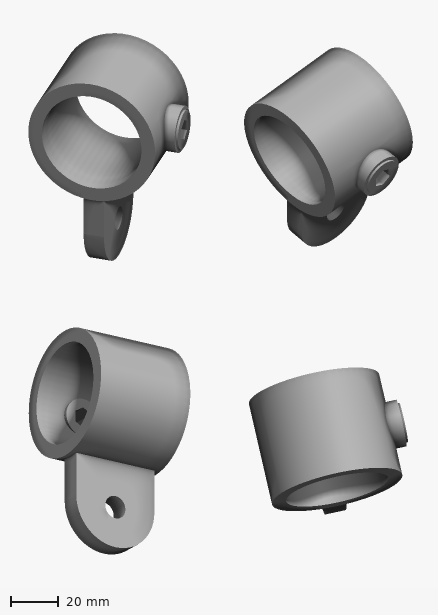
import cadquery as cq
import math

ring_diameter = 56.0
bore_diameter = 44.0
ring_width = 44.5

overall_height = 94.0
tab_thickness = 9.0
tab_width = 38.9
tab_hole_diameter = 10.0
tab_hole_z = -48.0
tab_bottom_z = ring_diameter / 2 - overall_height
tab_arc_z = tab_bottom_z + tab_width / 2

boss_diameter = 20.0
boss_end_x = 32.5

screw_diameter = 16.8
screw_length = 13.2
screw_protrusion = 0.9
screw_start_x = boss_end_x + screw_protrusion - screw_length
socket_across_flats = 8.0
socket_across_corners = socket_across_flats / math.cos(math.radians(30))


def cylinder_along_y(diameter, length):
    """Cylinder centred on the origin with its axis along Y."""
    return cq.Workplane("XZ").circle(diameter / 2).extrude(length / 2, both=True)


def make_tab():
    """Flat tab with a rounded lower end, starting inside the ring wall."""
    half_width = tab_width / 2
    tab_top_z = -(ring_diameter + bore_diameter) / 4
    tab = (
        cq.Workplane("YZ")
        .moveTo(-half_width, tab_top_z)
        .lineTo(-half_width, tab_arc_z)
        .threePointArc((0, tab_bottom_z), (half_width, tab_arc_z))
        .lineTo(half_width, tab_top_z)
        .close()
        .extrude(tab_thickness / 2, both=True)
    )
    hole = (
        cq.Workplane("YZ")
        .center(0, tab_hole_z)
        .circle(tab_hole_diameter / 2)
        .extrude(tab_thickness / 2, both=True)
    )
    return tab.cut(hole)


def make_housing():
    """Ring with its boss and tab, bored for the tube and for the set screw."""
    boss = cq.Workplane("YZ").circle(boss_diameter / 2).extrude(boss_end_x)
    screw_hole = cq.Workplane("YZ").circle(screw_diameter / 2).extrude(boss_end_x)
    return (
        cylinder_along_y(ring_diameter, ring_width)
        .union(boss)
        .union(make_tab())
        .cut(cylinder_along_y(bore_diameter, ring_width))
        .cut(screw_hole)
    )


def make_set_screw():
    """Plain round screw with two socket corners pointing along Z."""
    screw_plane = cq.Workplane("YZ").workplane(offset=screw_start_x)
    screw = screw_plane.circle(screw_diameter / 2).extrude(screw_length)
    socket = (
        screw_plane.transformed(rotate=(0, 0, 90))
        .polygon(6, socket_across_corners)
        .extrude(screw_length)
    )
    return screw.cut(socket)


housing = make_housing()
set_screw = make_set_screw()

result = cq.Compound.makeCompound([housing.val(), set_screw.val()])